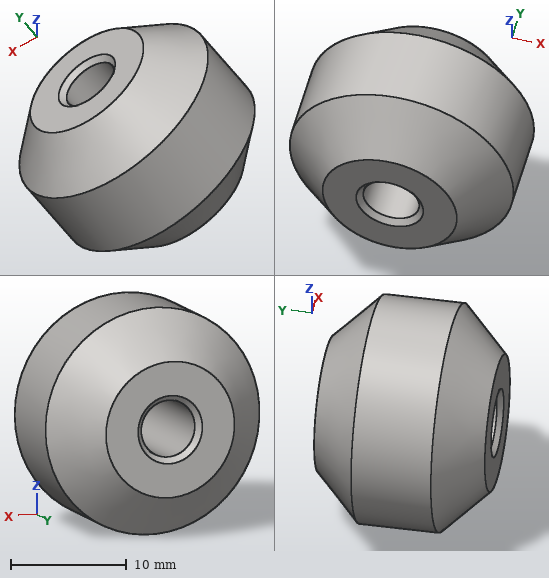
import cadquery as cq

outer_diameter = 20.0
length = 15.0
shoulder_chamfer = 4.0
bore_diameter = 5.0
bore_chamfer = 0.5

outer_radius = outer_diameter / 2
bore_radius = bore_diameter / 2
half_length = length / 2
end_face_radius = outer_radius - shoulder_chamfer
countersink_radius = bore_radius + bore_chamfer
shoulder_y = half_length - shoulder_chamfer
countersink_y = half_length - bore_chamfer

half_section = (
    cq.Workplane("XY")
    .moveTo(bore_radius, -countersink_y)
    .lineTo(countersink_radius, -half_length)
    .lineTo(end_face_radius, -half_length)
    .lineTo(outer_radius, -shoulder_y)
    .lineTo(outer_radius, shoulder_y)
    .lineTo(end_face_radius, half_length)
    .lineTo(countersink_radius, half_length)
    .lineTo(bore_radius, countersink_y)
    .close()
)

result = half_section.revolve(360, (0, 0, 0), (0, 1, 0))